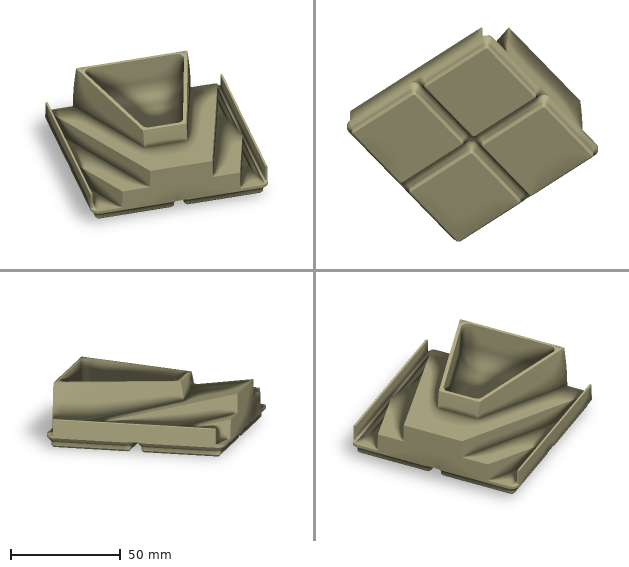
import cadquery as cq
import math

side = 83.5
height = 27.0
corner_radius = 3.75
wall = 1.0
half = side / 2

foot_pitch = 42.0
foot_width = side - foot_pitch
foot_bottom_flare = 0.8
foot_straight = 1.75
foot_top_flare = 2.2
flare_angle = 45
foot_gap = foot_pitch - foot_width
foot_neck_top = foot_bottom_flare + foot_straight
foot_height = foot_neck_top + foot_top_flare + foot_gap / 2
foot_neck_half = half - foot_top_flare
plate_top = 6.0

fin_top = 13.6
fin_length = side - 2 * corner_radius
fin_edge_radius = 0.3
fin_root_radius = wall

ramp_slope = math.tan(math.radians(12))
ramp_start = 6.3
terrace_count = 2
flank_half_width = 27.8
flank_slope = 0.31
flank_radius = 141.95
reach = 2 * side

hopper_end_top = 13.95
hopper_end_foot = 15.4
hopper_end_radius = 58.45

pocket_left = -40.4
pocket_right = 12.35
pocket_slope = 0.29
pocket_half_at_center = 12.6
pocket_floor = 6.35
pocket_corner_radius = 3.215
pocket_floor_radius = 8.0


def rounded_square(width, radius, thickness, z, taper=0.0):
    """Square plate with rounded corners, standing at height z."""
    sketch = cq.Sketch().rect(width, width).vertices().fillet(radius)
    return cq.Workplane("XY", origin=(0, 0, z)).placeSketch(sketch).extrude(thickness, taper=taper)


def foot():
    """One pad: flared bottom edge, straight neck, flared top."""
    neck_width = foot_width - 2 * foot_top_flare
    neck_radius = corner_radius - foot_top_flare
    bottom_width = neck_width - 2 * foot_bottom_flare
    bottom_radius = neck_radius - foot_bottom_flare
    top_height = foot_height - foot_neck_top
    bottom = rounded_square(bottom_width, bottom_radius, foot_bottom_flare, 0, -flare_angle)
    neck = rounded_square(neck_width, neck_radius, foot_straight, foot_bottom_flare)
    top = rounded_square(neck_width, neck_radius, top_height, foot_neck_top, -flare_angle)
    return bottom.union(neck).union(top)


def base():
    """Base plate with its four feet, trimmed to the outline of the block."""
    body = rounded_square(side, corner_radius, plate_top - foot_height, foot_height)
    pad = foot()
    for x in (-foot_pitch / 2, foot_pitch / 2):
        for y in (-foot_pitch / 2, foot_pitch / 2):
            body = body.union(pad.translate((x, y, 0)))
    return body.intersect(rounded_square(side, corner_radius, plate_top, 0))


def trough():
    """Hollow of the base, one wall thickness inside the feet, running along X."""
    neck = foot_neck_half - wall
    rim = half - wall - fin_root_radius
    bevel = wall * math.tan(math.radians(flare_angle / 2))
    neck_top = foot_neck_top + bevel
    neck_bottom = foot_bottom_flare + bevel
    floor_half = neck - (neck_bottom - wall)
    right_half = [
        (floor_half, wall),
        (neck, neck_bottom),
        (neck, neck_top),
        (rim, neck_top + rim - neck),
        (rim, plate_top),
    ]
    left_half = [(-y, z) for y, z in reversed(right_half)]
    return cq.Workplane("YZ").polyline(right_half + left_half).close().extrude(half, both=True)


def flank_lean(rise):
    """How far a flank leans inwards at a given rise above its ramp."""
    return flank_radius - math.sqrt(flank_radius**2 - rise**2)


def flank(shift):
    """Everything on the inner side of one sloping wall, which leans in as an arc above its ramp."""
    lead = side
    rise = side
    foot_y = flank_half_width + lead * flank_slope
    start = (shift - half - lead, 0, ramp_start - lead * ramp_slope)
    profile = (
        cq.Workplane("YZ", origin=start)
        .moveTo(-reach, -rise)
        .lineTo(foot_y, -rise)
        .lineTo(foot_y, 0)
        .threePointArc((foot_y - flank_lean(rise / 2), rise / 2), (foot_y - flank_lean(rise), rise))
        .lineTo(-reach, rise)
        .close()
    )
    path = cq.Vector(1, -flank_slope, ramp_slope) * (lead + reach)
    return cq.Workplane(cq.Solid.extrudeLinear(profile.val(), [], path))


def chevron(shift):
    """Wedge between a flank and its mirror image, narrowing towards +X."""
    inner_side = flank(shift)
    return inner_side.intersect(inner_side.mirror("XZ"))


def ramp_height(x, shift):
    """Height at x of the ramp that starts at the given shift along X."""
    return ramp_start + (x + half - shift) * ramp_slope


def below_ramp(shift):
    """Everything under the ramp that starts at the given shift along X."""
    points = [
        (-side, -side),
        (side, -side),
        (side, ramp_height(side, shift)),
        (-side, ramp_height(-side, shift)),
    ]
    return cq.Workplane("XZ").polyline(points).close().extrude(side, both=True)


def terraces():
    """Stepped ramps, bounded by chevron flanks, down to the lowest ramp in the trough."""
    body = below_ramp(terrace_count * foot_pitch)
    for step in range(terrace_count):
        ramp = below_ramp(step * foot_pitch)
        body = body.union(ramp.intersect(chevron((step + 1) * foot_pitch)))
    return body


def hopper():
    """Tall wedge block with an arched end wall."""
    end_foot_z = ramp_height(hopper_end_foot, 0)
    block = (
        cq.Workplane("XZ")
        .moveTo(-half, 0)
        .lineTo(hopper_end_foot, 0)
        .lineTo(hopper_end_foot, end_foot_z)
        .radiusArc((hopper_end_top, height), -hopper_end_radius)
        .lineTo(-half, height)
        .close()
        .extrude(half, both=True)
    )
    return block.intersect(chevron(0))


def pocket():
    """Pocket with a narrowing outline, rounded corners and a wide radius round its floor."""
    left_half = pocket_half_at_center - pocket_slope * pocket_left
    right_half = pocket_half_at_center - pocket_slope * pocket_right
    outline = [
        (pocket_left, -left_half),
        (pocket_right, -right_half),
        (pocket_right, right_half),
        (pocket_left, left_half),
    ]
    return (
        cq.Workplane("XY", origin=(0, 0, pocket_floor))
        .polyline(outline)
        .close()
        .extrude(height - pocket_floor)
        .faces("<Z")
        .edges()
        .fillet(pocket_floor_radius)
        .edges("|Z")
        .fillet(pocket_corner_radius)
    )


def fin():
    """Upright fin on the +Y edge with rounded top edges and a filleted root."""
    inner = half - wall
    upright = (
        cq.Workplane("XY", origin=(0, half - wall / 2, plate_top))
        .rect(fin_length, wall)
        .extrude(fin_top - plate_top)
        .edges(">Z and |X")
        .fillet(fin_edge_radius)
    )
    root = (
        cq.Workplane("YZ", origin=(-fin_length / 2, 0, plate_top))
        .moveTo(inner - fin_root_radius, 0)
        .radiusArc((inner, fin_root_radius), -fin_root_radius)
        .lineTo(inner, 0)
        .close()
        .extrude(fin_length)
    )
    return upright.union(root)


steps = terraces()
upper = rounded_square(side, corner_radius, height - plate_top, plate_top)

result = base().cut(trough().cut(steps))
result = result.union(steps.union(hopper()).intersect(upper))
result = result.cut(pocket())
result = result.union(fin()).union(fin().mirror("XZ"))